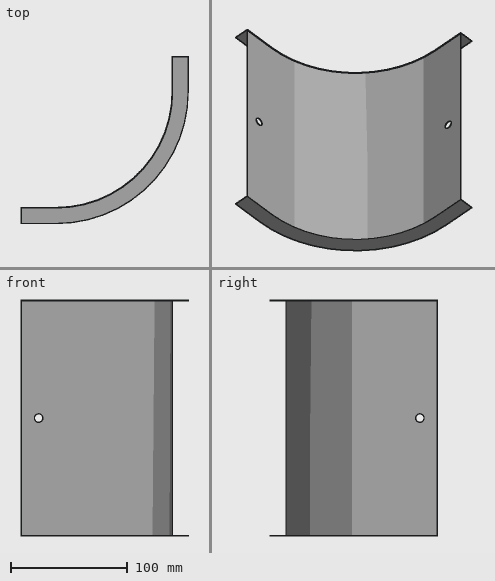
import cadquery as cq

HEIGHT = 202.0
SIDE = 143.0

SHEET = 0.6
FLANGE_WIDTH = 14.0
LEG = 30.0
HOLE_DIAMETER = 7.0
HOLE_FROM_EDGE = 15.0

BEND_RADIUS = SIDE - LEG


def bent_strip(outer_offset, width, height):
    """Solid L-strip with a round bend; its outer edge lies outer_offset inside the flange edge."""
    inner_offset = outer_offset + width
    outer_radius = BEND_RADIUS - outer_offset
    inner_radius = BEND_RADIUS - inner_offset
    diagonal = 0.5 ** 0.5

    def bend_middle(radius):
        return (LEG + radius * diagonal, BEND_RADIUS - radius * diagonal)

    return (
        cq.Workplane("XY")
        .moveTo(0, outer_offset)
        .lineTo(LEG, outer_offset)
        .threePointArc(bend_middle(outer_radius), (LEG + outer_radius, BEND_RADIUS))
        .lineTo(SIDE - outer_offset, SIDE)
        .lineTo(SIDE - inner_offset, SIDE)
        .lineTo(SIDE - inner_offset, BEND_RADIUS)
        .threePointArc(bend_middle(inner_radius), (LEG, inner_offset))
        .lineTo(0, inner_offset)
        .close()
        .extrude(height)
    )


wall = bent_strip(FLANGE_WIDTH - SHEET, SHEET, HEIGHT)

flange = bent_strip(0, FLANGE_WIDTH, SHEET)
body = wall.union(flange).union(flange.translate((0, 0, HEIGHT - SHEET)))

def hole_cutter(start, direction):
    """Cylinder reaching from the outer side of a leg through its wall."""
    return cq.Workplane(
        cq.Solid.makeCylinder(HOLE_DIAMETER / 2, 2 * FLANGE_WIDTH, cq.Vector(*start), cq.Vector(*direction))
    )


mid_height = HEIGHT / 2
hole_along_y = hole_cutter((HOLE_FROM_EDGE, 0, mid_height), (0, 1, 0))
hole_along_x = hole_cutter((SIDE, SIDE - HOLE_FROM_EDGE, mid_height), (-1, 0, 0))
result = body.cut(hole_along_y).cut(hole_along_x)